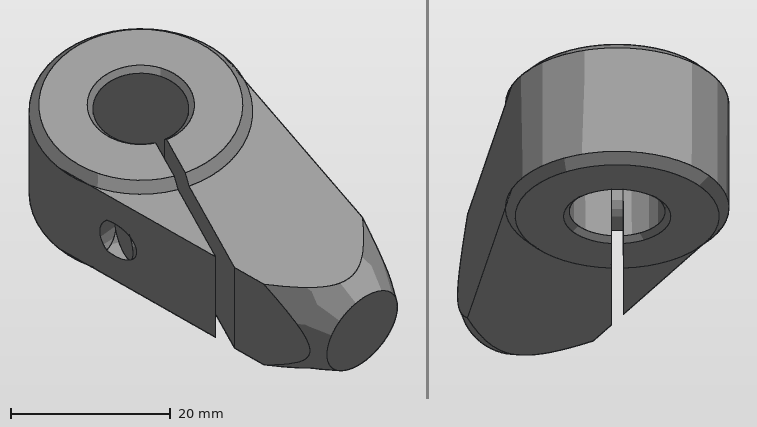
import cadquery as cq
import math

ring_diameter = 28.0
ring_height = 17.5
bore_diameter = 12.0
bore_chamfer = 0.7

total_length = 55.0
arm_height = 15.0
arm_taper = 10.0

tip_diameter = 12.0
tip_angle = 30.0
tip_cone_length = 13.75

slot_width = 1.5
slot_angle = -20.0
screw_diameter = 6.0
screw_distance = 12.5
screw_seat_depth = 7.5
access_wall_x = 6.45
access_wall_radius = 4.1

ring_radius = ring_diameter / 2
arm_end_x = total_length - ring_radius
arm_end_half_width = ring_radius - arm_end_x * math.tan(math.radians(arm_taper))
ring_chamfer = (ring_height - arm_height) / 2


def make_ring():
    ring = cq.Workplane("XY").circle(ring_radius).extrude(ring_height / 2, both=True)
    ring = ring.faces("|Z").chamfer(ring_chamfer)
    middle = cq.Workplane("XY").box(ring_diameter, ring_diameter, arm_height)
    return ring.cut(middle)


def make_arm():
    outline = (
        cq.Workplane("XY")
        .moveTo(0, ring_radius)
        .threePointArc((-ring_radius, 0), (0, -ring_radius))
        .lineTo(arm_end_x, -arm_end_half_width)
        .lineTo(arm_end_x, arm_end_half_width)
        .close()
    )
    return outline.extrude(arm_height / 2, both=True)


def make_tip_envelope():
    """Solid of revolution that bounds the arm and rounds its tip to a cone."""
    tip_radius = tip_diameter / 2
    cone_base_x = arm_end_x - tip_cone_length
    cone_base_radius = tip_radius + tip_cone_length * math.tan(math.radians(tip_angle))
    envelope_radius = max(ring_diameter, cone_base_radius)
    return (
        cq.Workplane("XY")
        .moveTo(-ring_diameter, 0)
        .lineTo(-ring_diameter, envelope_radius)
        .lineTo(cone_base_x, envelope_radius)
        .lineTo(cone_base_x, cone_base_radius)
        .lineTo(arm_end_x, tip_radius)
        .lineTo(arm_end_x, 0)
        .close()
        .revolve(360, (0, 0, 0), (1, 0, 0))
    )


def make_bore():
    bore_radius = bore_diameter / 2
    bore = cq.Workplane("XY").circle(bore_radius).extrude(ring_height / 2, both=True)
    for side in (-1, 1):
        countersink = cq.Solid.makeCone(
            bore_radius + bore_chamfer,
            bore_radius,
            bore_chamfer,
            cq.Vector(0, 0, side * ring_height / 2),
            cq.Vector(0, 0, -side),
        )
        bore = bore.union(cq.Workplane(countersink))
    return bore


def along_slot(shape):
    return shape.rotate((0, 0, 0), (0, 0, 1), slot_angle)


def make_slot():
    return along_slot(
        cq.Workplane("XY").box(total_length, slot_width, ring_height, centered=(False, True, True))
    )


def screw_cylinder(start_depth, end_depth):
    """Cylinder on the screw axis; depths grow from the slot towards the -Y side."""
    cylinder = (
        cq.Workplane("XZ", origin=(screw_distance, -start_depth, 0))
        .circle(screw_diameter / 2)
        .extrude(end_depth - start_depth)
    )
    return along_slot(cylinder)


def make_screw_access():
    """Oblique hole over the screw end, its -X side closed in by a round wall along Y."""
    wall = (
        cq.Workplane("XZ", origin=(access_wall_x + access_wall_radius, 0, 0))
        .circle(access_wall_radius)
        .extrude(ring_diameter)
    )
    return screw_cylinder(screw_seat_depth, ring_diameter).intersect(wall)


body = make_arm().intersect(make_tip_envelope()).union(make_ring())
body = body.cut(make_bore()).cut(make_slot())
body = body.cut(make_screw_access())
result = body.union(screw_cylinder(-slot_width, screw_seat_depth))